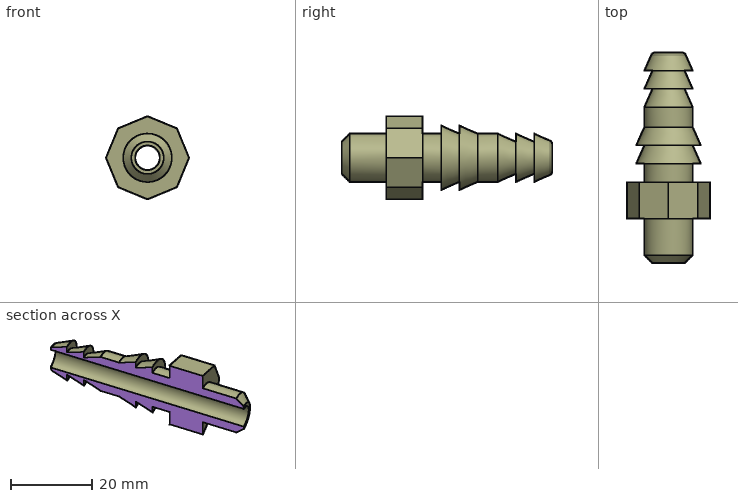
import cadquery as cq
import math

spigot_length = 11.0
octagon_length = 9.0
collar_length = 4.55
barb_pitch = 4.5
neck_length = 4.95

body_diameter = 12.0
large_barb_diameter = 16.0
small_root_diameter = 8.0
bore_diameter = 6.0
octagon_across_flats = 19.0
octagon_sides = 8

spigot_chamfer_length = 2.0
spigot_tip_diameter = 8.0
hose_tip_fillet = 1.0

large_barb_count = 2
small_barb_count = 3

octagon_start = spigot_length
octagon_end = octagon_start + octagon_length
large_barbs_start = octagon_end + collar_length
neck_start = large_barbs_start + large_barb_count * barb_pitch
small_barbs_start = neck_start + neck_length
total_length = small_barbs_start + small_barb_count * barb_pitch


def cylinder_along_y(diameter, start, end):
    """Solid cylinder on the Y axis between two Y positions."""
    circle = cq.Workplane("XZ", origin=(0, start, 0)).circle(diameter / 2)
    return circle.extrude(start - end)


def barb(base_diameter, tip_diameter, start):
    """Solid cone frustum narrowing toward +Y, one barb pitch long."""
    end = start + barb_pitch
    profile = (
        cq.Workplane("XY")
        .moveTo(0, start)
        .lineTo(base_diameter / 2, start)
        .lineTo(tip_diameter / 2, end)
        .lineTo(0, end)
        .close()
    )
    return profile.revolve(360, (0, 0, 0), (0, 1, 0))


def make_spigot():
    """Plain stem through the octagon up to the small barbs, chamfered at its free end."""
    stem = cylinder_along_y(body_diameter, 0, small_barbs_start)
    radial_setback = (body_diameter - spigot_tip_diameter) / 2
    return stem.faces("<Y").chamfer(spigot_chamfer_length, radial_setback)


def make_octagon():
    """Octagonal wrench section with corners on the X and Z axes."""
    across_corners = octagon_across_flats / math.cos(math.pi / octagon_sides)
    outline = cq.Workplane("XZ", origin=(0, octagon_start, 0)).polygon(octagon_sides, across_corners)
    return outline.extrude(-octagon_length)


def make_large_barbs():
    """Row of barbs for the larger hose size."""
    barbs = cq.Workplane("XY")
    for index in range(large_barb_count):
        start = large_barbs_start + index * barb_pitch
        barbs = barbs.union(barb(large_barb_diameter, body_diameter, start))
    return barbs


def make_small_barbs():
    """Row of barbs for the smaller hose size, rounded at the free end."""
    barbs = cq.Workplane("XY")
    for index in range(small_barb_count):
        start = small_barbs_start + index * barb_pitch
        barbs = barbs.union(barb(body_diameter, small_root_diameter, start))
    return barbs.faces(">Y").edges().fillet(hose_tip_fillet)


bore = cylinder_along_y(bore_diameter, 0, total_length)
body = make_spigot().union(make_octagon()).union(make_large_barbs()).union(make_small_barbs())
result = body.cut(bore)